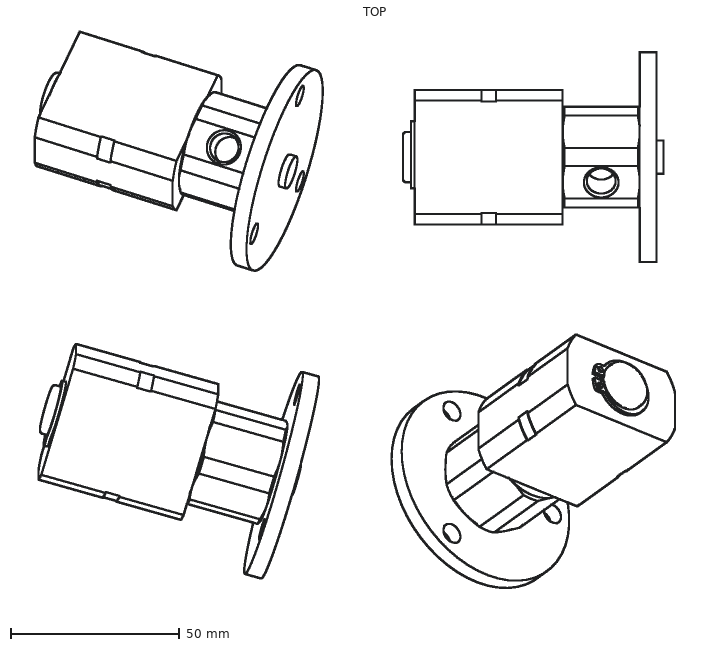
import cadquery as cq
import math

OVERALL_LENGTH = 77.5
CLIP_FACE_X = 2.4
CLIP_THICKNESS = 1.1
BLOCK_LENGTH = 44.0
HEX_LENGTH = 22.9
FLANGE_THICKNESS = 5.0
BLOCK_START_X = CLIP_FACE_X + CLIP_THICKNESS
HEX_START_X = BLOCK_START_X + BLOCK_LENGTH
FLANGE_START_X = HEX_START_X + HEX_LENGTH
SPIGOT_START_X = FLANGE_START_X + FLANGE_THICKNESS

PIN_DIAMETER = 15.0
PIN_END_FILLET = 1.1
CLIP_GROOVE_DIAMETER = 14.3
HEX_SIDES = 6
HEX_ACROSS_FLATS = 30.0
HEX_CORNER_DIAMETER = 32.0
HEX_CHAMFER_ANGLE = 30.0
FLANGE_DIAMETER = 62.5
FLANGE_HOLE_DIAMETER = 6.3
FLANGE_HOLE_COUNT = 3
FLANGE_HOLE_CIRCLE_RADIUS = 24.95
SPIGOT_DIAMETER = 10.0

PORT_DIAMETER = 8.6
PORT_MOUTH_DIAMETER = 10.3
PORT_DEPTH = 9.15
PORT_TILT = 60.0

BLOCK_WIDTH = 40.0
BLOCK_HEIGHT = 24.95
BLOCK_CORNER_DIAMETER = 42.0
BLOCK_GROOVE_DIAMETER = 41.55
BLOCK_GROOVE_WIDTH = 4.3

CLIP_OUTER_DIAMETER = 17.7
CLIP_OFFSET_Y = -0.5
LUG_TIP_RADIUS = 10.8
LUG_HALF_HEIGHT = 4.6
LUG_HALF_GAP = 0.9
LUG_CORNER_RADIUS = 1.5
LUG_ROOT_RADIUS = 1.0
LUG_HOLE_DIAMETER = 1.7
LUG_HOLE_Y = 8.6
LUG_HOLE_Z = 2.8


def plane_at(x):
    """YZ plane at x: its local axes are Y and Z, and it extrudes toward +X."""
    return cq.Workplane("YZ", origin=(x, 0, 0))


def disc(x, diameter, length):
    return plane_at(x).circle(diameter / 2).extrude(length)


def make_hexagon():
    """Hexagon with two vertical flats, turned corners and conical end chamfers."""
    corner_to_corner = HEX_ACROSS_FLATS / math.cos(math.pi / HEX_SIDES)
    prism = (
        plane_at(HEX_START_X)
        .transformed(rotate=(0, 0, 180 / HEX_SIDES))
        .polygon(HEX_SIDES, corner_to_corner)
        .extrude(HEX_LENGTH)
    )
    end_radius = HEX_ACROSS_FLATS / 2
    corner_radius = HEX_CORNER_DIAMETER / 2
    chamfer_length = (corner_radius - end_radius) * math.tan(math.radians(HEX_CHAMFER_ANGLE))
    turned_envelope = (
        cq.Workplane("XY")
        .moveTo(HEX_START_X, 0)
        .lineTo(HEX_START_X, end_radius)
        .lineTo(HEX_START_X + chamfer_length, corner_radius)
        .lineTo(FLANGE_START_X - chamfer_length, corner_radius)
        .lineTo(FLANGE_START_X, end_radius)
        .lineTo(FLANGE_START_X, 0)
        .close()
        .revolve(360, (0, 0, 0), (1, 0, 0))
    )
    return prism.intersect(turned_envelope)


def make_flange():
    first_angle = 180
    holes = (
        plane_at(FLANGE_START_X)
        .polarArray(FLANGE_HOLE_CIRCLE_RADIUS, first_angle, 360, FLANGE_HOLE_COUNT)
        .circle(FLANGE_HOLE_DIAMETER / 2)
        .extrude(FLANGE_THICKNESS)
    )
    return disc(FLANGE_START_X, FLANGE_DIAMETER, FLANGE_THICKNESS).cut(holes)


def make_port_cutter():
    """Flat-bottomed hole with a 45 degree mouth, square to the tilted flat of the hexagon."""
    tilt = math.radians(PORT_TILT)
    outward = cq.Vector(0, -math.cos(tilt), math.sin(tilt))
    mouth_centre = outward * (HEX_ACROSS_FLATS / 2) + cq.Vector(HEX_START_X + HEX_LENGTH / 2, 0, 0)
    bore_radius = PORT_DIAMETER / 2
    mouth_radius = PORT_MOUTH_DIAMETER / 2
    bore = cq.Solid.makeCylinder(bore_radius, PORT_DEPTH, mouth_centre, -outward)
    mouth = cq.Solid.makeCone(mouth_radius, bore_radius, mouth_radius - bore_radius, mouth_centre, -outward)
    return cq.Workplane(bore).union(cq.Workplane(mouth))


def make_shaft():
    pin = disc(0, PIN_DIAMETER, HEX_START_X).faces("<X").edges().fillet(PIN_END_FILLET)
    clip_groove = disc(CLIP_FACE_X, PIN_DIAMETER, CLIP_THICKNESS).cut(
        disc(CLIP_FACE_X, CLIP_GROOVE_DIAMETER, CLIP_THICKNESS)
    )
    spigot = disc(SPIGOT_START_X, SPIGOT_DIAMETER, OVERALL_LENGTH - SPIGOT_START_X)
    return (
        pin.cut(clip_groove)
        .union(make_hexagon())
        .union(make_flange())
        .union(spigot)
        .cut(make_port_cutter())
    )


def make_block():
    """Bar with turned corners, a shallow turned groove at mid length and a bore for the pin."""
    bar = plane_at(BLOCK_START_X).rect(BLOCK_WIDTH, BLOCK_HEIGHT).extrude(BLOCK_LENGTH)
    body = bar.intersect(disc(BLOCK_START_X, BLOCK_CORNER_DIAMETER, BLOCK_LENGTH))
    groove_start_x = BLOCK_START_X + (BLOCK_LENGTH - BLOCK_GROOVE_WIDTH) / 2
    groove = disc(groove_start_x, BLOCK_CORNER_DIAMETER, BLOCK_GROOVE_WIDTH).cut(
        disc(groove_start_x, BLOCK_GROOVE_DIAMETER, BLOCK_GROOVE_WIDTH)
    )
    bore = disc(BLOCK_START_X, PIN_DIAMETER, BLOCK_LENGTH)
    return body.cut(groove).cut(bore)


def make_clip():
    """Open ring seated in the pin groove, with two lugs toward +Y, each with a hole for pliers."""
    ring = (
        plane_at(CLIP_FACE_X)
        .center(CLIP_OFFSET_Y, 0)
        .circle(CLIP_OUTER_DIAMETER / 2)
        .extrude(CLIP_THICKNESS)
    )
    lugs = (
        plane_at(CLIP_FACE_X)
        .center(LUG_TIP_RADIUS / 2, 0)
        .rect(LUG_TIP_RADIUS, 2 * LUG_HALF_HEIGHT)
        .extrude(CLIP_THICKNESS)
        .intersect(disc(CLIP_FACE_X, 2 * LUG_TIP_RADIUS, CLIP_THICKNESS))
        .edges("|X")
        .edges(">Y")
        .fillet(LUG_CORNER_RADIUS)
    )
    root_y = CLIP_OFFSET_Y + math.sqrt((CLIP_OUTER_DIAMETER / 2) ** 2 - LUG_HALF_HEIGHT**2)
    outline = ring.union(lugs)
    for root_z in (-LUG_HALF_HEIGHT, LUG_HALF_HEIGHT):
        root_point = (CLIP_FACE_X + CLIP_THICKNESS / 2, root_y, root_z)
        root_edge = outline.edges("|X").edges(cq.NearestToPointSelector(root_point))
        outline = root_edge.fillet(LUG_ROOT_RADIUS)
    gap = (
        plane_at(CLIP_FACE_X)
        .center(LUG_TIP_RADIUS / 2, 0)
        .rect(LUG_TIP_RADIUS, 2 * LUG_HALF_GAP)
        .extrude(CLIP_THICKNESS)
    )
    plier_holes = (
        plane_at(CLIP_FACE_X)
        .pushPoints([(LUG_HOLE_Y, -LUG_HOLE_Z), (LUG_HOLE_Y, LUG_HOLE_Z)])
        .circle(LUG_HOLE_DIAMETER / 2)
        .extrude(CLIP_THICKNESS)
    )
    inner = disc(CLIP_FACE_X, CLIP_GROOVE_DIAMETER, CLIP_THICKNESS)
    return outline.cut(inner).cut(gap).cut(plier_holes)


shaft = make_shaft()
block = make_block()
clip = make_clip()

result = cq.Compound.makeCompound([shaft.solids().val(), block.solids().val(), clip.solids().val()])